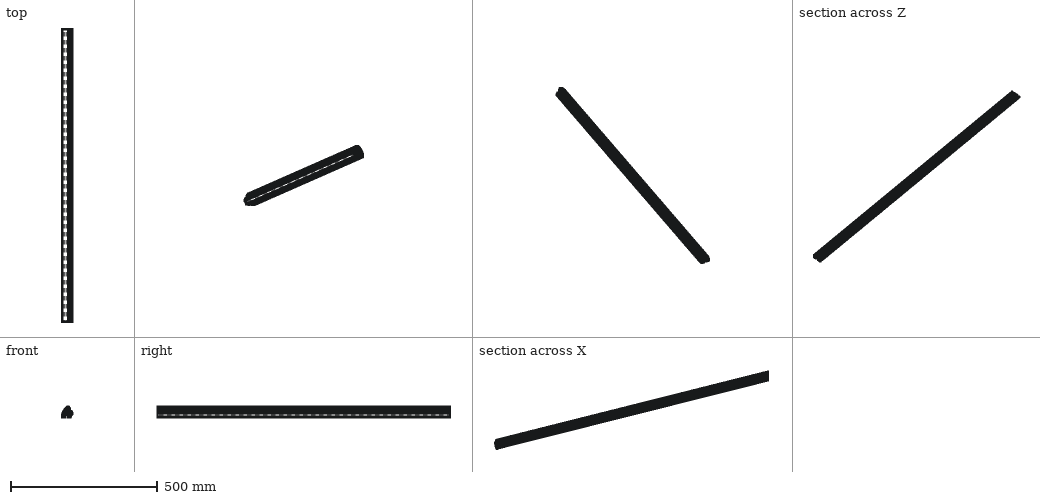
import cadquery as cq
import math

length = 1000.0
wedge_angle = 60.0
half_angle = math.radians(wedge_angle / 2)

inner_radius = 15.0
outer_radius = 45.0
corner_radius = 1.97

slot_position = (inner_radius + outer_radius) / 2
slot_opening = 8.6
slot_lip = 2.8
slot_width = 16.3
slot_side_depth = 5.0
slot_floor_width = 13.0
slot_depth = 9.0

curved_wall = 2.0
face_wall = 3.0
slot_wall = 2.0
web_depth = 6.0

core_outer_face = 36.4
core_outer_face_depth = slot_depth + 0.6
core_inner_face = 22.0
core_inner_face_depth = slot_depth + 0.2
core_hole_position = slot_position
core_hole_diameter = 7.6

outer_corner = math.sqrt((outer_radius - corner_radius) ** 2 - corner_radius**2)
inner_corner = math.sqrt((inner_radius + corner_radius) ** 2 - corner_radius**2)
left_reach = outer_corner + corner_radius
right_gap = inner_corner * math.sin(half_angle) - corner_radius * (1 - math.cos(half_angle))
section_height = outer_corner * math.cos(half_angle) + corner_radius * (1 - math.sin(half_angle))


def from_lower_face(along, depth):
    """Section point at a distance along the lower face from the apex and a depth into the section."""
    return (
        along * math.cos(half_angle) + depth * math.sin(half_angle),
        depth * math.cos(half_angle) - along * math.sin(half_angle),
    )


def mirrored(points):
    """The points mirrored in the symmetry axis, in reverse order."""
    return [(x, -y) for x, y in reversed(points)]


def along_at_radius(radius, depth):
    """Distance along a face at which a given depth meets a circle about the apex."""
    return math.sqrt(radius**2 - depth**2)


def along_at_axis_position(position, depth):
    """Distance along a face at which a given depth meets a plane square to the symmetry axis."""
    return (position - depth * math.sin(half_angle)) / math.cos(half_angle)


def ring_sector():
    lower_face = [from_lower_face(inner_radius, 0), from_lower_face(outer_radius, 0)]
    upper_face = mirrored(lower_face)
    return (
        cq.Workplane("XY")
        .moveTo(*lower_face[0])
        .lineTo(*lower_face[1])
        .threePointArc((outer_radius, 0), upper_face[0])
        .lineTo(*upper_face[1])
        .threePointArc((inner_radius, 0), lower_face[0])
        .close()
        .extrude(length)
        .edges("|Z")
        .fillet(corner_radius)
    )


def t_slots():
    half_section = [
        (slot_opening / 2, 0),
        (slot_opening / 2, slot_lip),
        (slot_width / 2, slot_lip),
        (slot_width / 2, slot_side_depth),
        (slot_floor_width / 2, slot_depth),
    ]
    far_side = [(slot_position + offset, depth) for offset, depth in half_section]
    near_side = [(slot_position - offset, depth) for offset, depth in reversed(half_section)]
    lower = [from_lower_face(along, depth) for along, depth in far_side + near_side]
    lower_slot = cq.Workplane("XY").polyline(lower).close().extrude(length)
    upper_slot = cq.Workplane("XY").polyline(mirrored(lower)).close().extrude(length)
    return lower_slot.union(upper_slot)


def hollow(curve_radius, core_face, core_face_depth, slot_side):
    """Hollow between a curved wall and the core, with an arm reaching down beside each slot."""
    lower = [
        from_lower_face(along_at_axis_position(core_face, core_face_depth), core_face_depth),
        from_lower_face(slot_side, web_depth),
        from_lower_face(slot_side, face_wall),
        from_lower_face(along_at_radius(curve_radius, face_wall), face_wall),
    ]
    upper = mirrored(lower)
    return (
        cq.Workplane("XY")
        .polyline(lower)
        .threePointArc((curve_radius, 0), upper[0])
        .polyline(upper[1:], includeCurrent=True)
        .close()
        .extrude(length)
    )


def outer_hollow():
    slot_side = slot_position + slot_width / 2 + slot_wall
    return hollow(outer_radius - curved_wall, core_outer_face, core_outer_face_depth, slot_side)


def inner_hollow():
    slot_side = slot_position - slot_width / 2 - slot_wall
    return hollow(inner_radius + curved_wall, core_inner_face, core_inner_face_depth, slot_side)


def core_hole():
    return cq.Workplane("XY").center(core_hole_position, 0).circle(core_hole_diameter / 2).extrude(length)


profile = ring_sector().cut(t_slots()).cut(outer_hollow()).cut(inner_hollow()).cut(core_hole())

result = (
    profile.rotate((0, 0, 0), (0, 0, 1), 180 - wedge_angle / 2)
    .rotate((0, 0, 0), (1, 0, 0), 90)
    .translate(((left_reach + right_gap) / 2, length / 2, -section_height / 2))
)